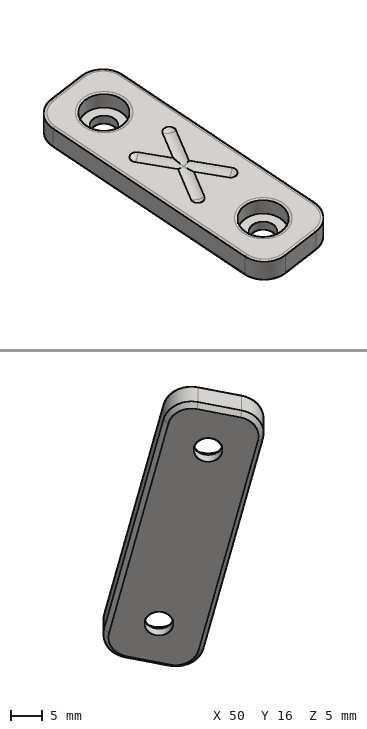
import cadquery as cq

length = 50.0
width = 16.0
thickness = 5.0
corner_radius = 4.5
bottom_chamfer = 0.8
bevel_height = 0.135
bevel_inset = 0.5

hole_offset = 17.0
hole_diameter = 4.5
counterbore_diameter = 8.0
counterbore_depth = 3.15

groove_angle = 30.0
groove_half_width = 1.1
groove_depth = 0.27
groove_half_length = 7.55


def make_plate():
    """Rounded rectangle with a 45 degree bottom chamfer and a shallow top bevel."""
    plate = (
        cq.Workplane("XY")
        .box(length, width, thickness, centered=(True, True, False))
        .edges("|Z")
        .fillet(corner_radius)
    )
    plate = plate.faces("<Z").chamfer(bottom_chamfer)
    return plate.faces(">Z").chamfer(bevel_height, bevel_inset)


def make_screw_hole(x):
    """Revolved cutter: through hole, counterbore and bevelled rim."""
    hole_radius = hole_diameter / 2
    bore_radius = counterbore_diameter / 2
    floor = thickness - counterbore_depth
    profile = (
        cq.Workplane("YZ")
        .moveTo(0, 0)
        .lineTo(hole_radius, 0)
        .lineTo(hole_radius, floor)
        .lineTo(bore_radius, floor)
        .lineTo(bore_radius, thickness - bevel_height)
        .lineTo(bore_radius + bevel_inset, thickness)
        .lineTo(0, thickness)
        .close()
    )
    return profile.revolve(360, (0, 0, 0), (0, 1, 0)).translate((x, 0, 0))


def make_groove(angle):
    """Ball-ended round bar lying across the centre of the top face."""
    bar_radius = (groove_half_width**2 + groove_depth**2) / (2 * groove_depth)
    bar_height = thickness - groove_depth + bar_radius
    bar = (
        cq.Workplane("YZ")
        .circle(bar_radius)
        .extrude(groove_half_length, both=True)
    )
    for side in (-1, 1):
        ball = cq.Workplane("XY").sphere(bar_radius)
        bar = bar.union(ball.translate((side * groove_half_length, 0, 0)))
    return bar.rotate((0, 0, 0), (0, 0, 1), angle).translate((0, 0, bar_height))


result = make_plate()
for side in (-1, 1):
    result = result.cut(make_screw_hole(side * hole_offset))
    result = result.cut(make_groove(side * groove_angle))